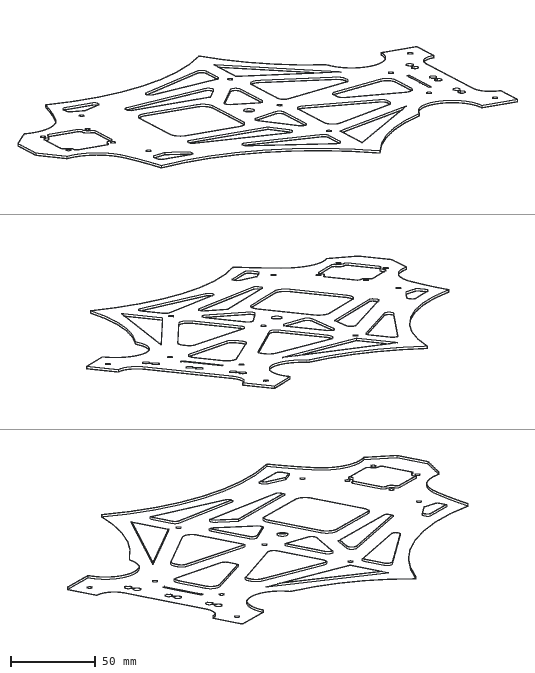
import cadquery as cq
import math


WIDTH = 216.72
LENGTH = 301.25
THICKNESS = 1.52
HALF_WIDTH = WIDTH / 2
NOSE_Y = LENGTH / 2
TAIL_Y = -LENGTH / 2

NOSE_HALF_WIDTH = 60.4
NOSE_RECESS_X = 28.0
NOSE_RECESS_RADIUS = 12.0
NOSE_RECESS_Y = NOSE_Y - NOSE_RECESS_RADIUS
NECK_RADIUS = 20.2
NECK_CENTRE_Y = 106.0
NECK_TOP_Y = NECK_CENTRE_Y + NECK_RADIUS
NECK_INNER_X = NOSE_HALF_WIDTH - NECK_RADIUS
SHOULDER = (-55.6, 86.4)
SHOULDER_RADIUS = 2.5
FRONT_EDGE_MID = (-75.0, 56.5)
WING_TIP_Y = 29.1
REAR_EDGE_MID = (-71.8, -34.5)
REAR_CORNER = (-69.4, -98.2)
TAIL_FLARE_MID = (-56.6, -101.8)
TAIL_ARC_START = (-42.2, -107.0)
TAIL_ARC_MID = (-30.0, -116.4)
TAIL_ARC_END = (-25.8, -137.8)
TAIL_HALF_WIDTH = 10.7

SPAR_FRONT_Y = 28.1
SPAR_REAR_Y = 17.8
SPAR_HOLE_Y = 22.3
LARGE_WINDOW_RADIUS = 5.8
WINDOW_RADIUS = 4.0
SMALL_WINDOW_RADIUS = 3.2
NARROW_CORNER_RADIUS = 2.8
BATTERY_SIZE = 50.0
BATTERY_CENTRE_Y = -37.9
BATTERY_RADIUS = 7.0

NOSE_WINDOW_FRONT = (-16.6, 106.9, LARGE_WINDOW_RADIUS)
NOSE_WINDOW_REAR = (-5.4, 60.5, WINDOW_RADIUS)
SIDE_WINDOWS = [
    [(-39.0, 86.7, 0), (-62.4, SPAR_FRONT_Y, 0), (-88.8, SPAR_FRONT_Y, 0)],
    [
        (-30.1, 82.4, LARGE_WINDOW_RADIUS),
        (-21.1, 82.4, WINDOW_RADIUS),
        (-7.1, SPAR_FRONT_Y, WINDOW_RADIUS),
        (-51.8, SPAR_FRONT_Y, LARGE_WINDOW_RADIUS),
    ],
    [
        (-85.0, SPAR_REAR_Y, SMALL_WINDOW_RADIUS),
        (-63.6, SPAR_REAR_Y, SMALL_WINDOW_RADIUS),
        (-51.7, -52.7, NARROW_CORNER_RADIUS),
    ],
    [
        (-48.4, SPAR_REAR_Y, SMALL_WINDOW_RADIUS),
        (-8.7, SPAR_REAR_Y, SMALL_WINDOW_RADIUS),
        (-17.0, -6.7, SMALL_WINDOW_RADIUS),
    ],
    [
        (-51.8, 8.0, SMALL_WINDOW_RADIUS),
        (-34.4, -5.4, 0),
        (-34.4, -61.2, 2.0),
        (-40.1, -61.2, 2.0),
    ],
    [
        (-58.9, -69.9, 2.0),
        (-54.2, -69.9, 2.0),
        (-47.8, -83.4, 0),
        (-50.6, -93.6, 2.0),
        (-58.9, -93.6, 3.0),
    ],
]

CAMERA_SIZE = 35.0
CAMERA_CENTRE_Y = -115.6
CAMERA_HOLE_PITCH = 30.5
CAMERA_EAR_RADIUS = 3.5
CAMERA_EAR_FILLET = 2.0

SCREW_DIAMETER = 3.0
SIDE_SCREWS = [
    (-50.8, 140.7),
    (-23.0, 111.5),
    (-59.2, SPAR_HOLE_Y),
    (-40.2, -90.2),
]
CENTRE_HOLE_DIAMETER = 6.35
CENTRE_HOLE_Y = 1.4
STRAP_SLOT_LENGTH = 26.5
STRAP_SLOT_WIDTH = 1.6
STRAP_SLOT_Y = 117.65
TIE_PITCH = 28.0
TIE_Y = 129.1
TIE_LOBE_DIAMETER = 4.3
TIE_LOBE_PITCH = 6.2
TIE_LINK_WIDTH = 1.0


def mirrored(point):
    return (-point[0], point[1])


def round_corner(body, x, y, radius):
    """Fillet the upright edge of the body at (x, y)."""
    middle = (x, y, THICKNESS / 2)
    return body.edges(cq.NearestToPointSelector(middle)).fillet(radius)


def window(corners):
    """Cutter for a polygonal window with its own radius at each corner."""
    outline = [(x, y) for x, y, _ in corners]
    body = cq.Workplane("XY").polyline(outline).close().extrude(THICKNESS)
    for x, y, radius in corners:
        if radius > 0:
            body = round_corner(body, x, y, radius)
    return body


def box(width, length, y):
    """Plate-thick block centred on the line of symmetry."""
    return cq.Workplane("XY").center(0, y).rect(width, length).extrude(THICKNESS)


def discs(points, diameter):
    """Plate-thick discs centred on the points."""
    return cq.Workplane("XY").pushPoints(points).circle(diameter / 2).extrude(THICKNESS)


def blank():
    """Solid plate: the -X half of the outline, mirrored."""
    recess_diagonal = NOSE_RECESS_RADIUS / math.sqrt(2)
    recess_mid = (-NOSE_RECESS_X - recess_diagonal, NOSE_Y - recess_diagonal)
    half = (
        cq.Workplane("XY")
        .moveTo(0, NOSE_RECESS_Y)
        .lineTo(-NOSE_RECESS_X, NOSE_RECESS_Y)
        .threePointArc(recess_mid, (-NOSE_RECESS_X - NOSE_RECESS_RADIUS, NOSE_Y))
        .lineTo(-NOSE_HALF_WIDTH, NOSE_Y)
        .lineTo(-NOSE_HALF_WIDTH, NECK_TOP_Y)
        .threePointArc((-NECK_INNER_X, NECK_CENTRE_Y), SHOULDER)
        .threePointArc(FRONT_EDGE_MID, (-HALF_WIDTH, WING_TIP_Y))
        .threePointArc(REAR_EDGE_MID, REAR_CORNER)
        .threePointArc(TAIL_FLARE_MID, TAIL_ARC_START)
        .threePointArc(TAIL_ARC_MID, TAIL_ARC_END)
        .lineTo(-TAIL_HALF_WIDTH, TAIL_Y)
        .lineTo(0, TAIL_Y)
        .close()
        .extrude(THICKNESS)
    )
    half = round_corner(half, *SHOULDER, SHOULDER_RADIUS)
    return half.union(half.mirror("YZ"))


def nose_window():
    front_x, front_y, front_radius = NOSE_WINDOW_FRONT
    rear_x, rear_y, rear_radius = NOSE_WINDOW_REAR
    return window([
        NOSE_WINDOW_FRONT,
        (-front_x, front_y, front_radius),
        (-rear_x, rear_y, rear_radius),
        NOSE_WINDOW_REAR,
    ])


def battery_window():
    return box(BATTERY_SIZE, BATTERY_SIZE, BATTERY_CENTRE_Y).edges("|Z").fillet(BATTERY_RADIUS)


def camera_holes():
    offset = CAMERA_HOLE_PITCH / 2
    return [(x, CAMERA_CENTRE_Y + y) for x in (-offset, offset) for y in (-offset, offset)]


def camera_window():
    """Square opening that leaves a round ear about each screw hole."""
    opening = box(CAMERA_SIZE, CAMERA_SIZE, CAMERA_CENTRE_Y)
    opening = opening.cut(discs(camera_holes(), 2 * CAMERA_EAR_RADIUS))
    return opening.edges("|Z").fillet(CAMERA_EAR_FILLET)


def tie_hole(x):
    """Two round lobes joined by a narrow link."""
    half_pitch = TIE_LOBE_PITCH / 2
    lobes = discs([(x - half_pitch, TIE_Y), (x + half_pitch, TIE_Y)], TIE_LOBE_DIAMETER)
    link = box(TIE_LOBE_PITCH, TIE_LINK_WIDTH, TIE_Y).translate((x, 0, 0))
    return lobes.union(link)


def screw_points():
    both_sides = SIDE_SCREWS + [mirrored(point) for point in SIDE_SCREWS]
    return both_sides + [(0, SPAR_HOLE_Y)] + camera_holes()


plate = blank()
for corners in SIDE_WINDOWS:
    cutter = window(corners)
    plate = plate.cut(cutter).cut(cutter.mirror("YZ"))
plate = plate.cut(nose_window()).cut(battery_window()).cut(camera_window())
plate = plate.cut(discs(screw_points(), SCREW_DIAMETER))
plate = plate.cut(discs([(0, CENTRE_HOLE_Y)], CENTRE_HOLE_DIAMETER))
plate = plate.cut(box(STRAP_SLOT_LENGTH, STRAP_SLOT_WIDTH, STRAP_SLOT_Y))
for tie_x in (-TIE_PITCH, 0, TIE_PITCH):
    plate = plate.cut(tie_hole(tie_x))

result = plate.translate((0, 0, -THICKNESS / 2))